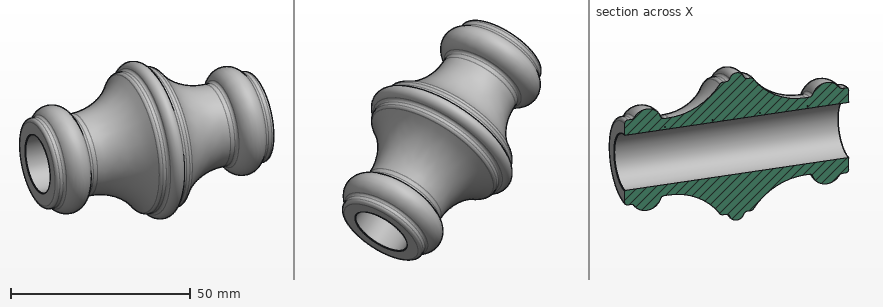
import cadquery as cq
import math

half_length = 33.5
bore_radius = 8.3
bore_chamfer = 0.2

ring_top_radius = 44.95 / 2
ring_round = 2.3
collar_radius = 20.25
collar_end_y = 4.1
collar_round = 1.2
neck_radius = 11.8
neck_start_y = 20.4
bead_top_radius = 15.5
bead_round = 4.5
bead_y = 26.9
end_radius = 13.0
end_round = 1.0
root_round = 1.0


def touch_point(center, other, distance):
    """Point at the given distance from center, toward other."""
    span = math.dist(center, other)
    return tuple(a + (b - a) * distance / span for a, b in zip(center, other))


def root_center(round_center, round_radius, cylinder_radius, side):
    """Center of the fillet between a round and a cylinder; side is its direction along y."""
    radius = cylinder_radius + root_round
    offset = math.sqrt((round_radius + root_round) ** 2 - (radius - round_center[0]) ** 2)
    return (radius, round_center[1] + side * offset)


def arc_to(path, center, arc_radius, start, end):
    """Extend the path from start to end along the shorter arc about center."""
    chord_middle = ((start[0] + end[0]) / 2, (start[1] + end[1]) / 2)
    return path.threePointArc(touch_point(center, chord_middle, arc_radius), end)


ring_center = (ring_top_radius - ring_round, 0)
ring_root = root_center(ring_center, ring_round, collar_radius, 1)
collar_center = (collar_radius - collar_round, collar_end_y)
bead_center = (bead_top_radius - bead_round, bead_y)
inner_root = root_center(bead_center, bead_round, neck_radius, -1)
outer_root = root_center(bead_center, bead_round, end_radius, 1)
end_center = (end_radius - end_round, half_length - end_round)

radial_gap = collar_center[0] - neck_radius
axial_gap = neck_start_y - collar_end_y
flare_round = (radial_gap**2 + axial_gap**2 - collar_round**2) / (2 * (radial_gap + collar_round))
flare_center = (neck_radius + flare_round, neck_start_y)

ring_end = touch_point(ring_center, ring_root, ring_round)
ring_root_end = (collar_radius, ring_root[1])
collar_end = (collar_radius, collar_end_y)
flare_top = touch_point(collar_center, flare_center, collar_round)
neck_start = (neck_radius, neck_start_y)
neck_end = (neck_radius, inner_root[1])
bead_start = touch_point(bead_center, inner_root, bead_round)
bead_end = touch_point(bead_center, outer_root, bead_round)
end_band_start = (end_radius, outer_root[1])
end_band_end = (end_radius, end_center[1])
end_face_edge = (end_center[0], half_length)

profile = cq.Workplane("XY").moveTo(bore_radius, ring_end[1]).lineTo(*ring_end)
profile = arc_to(profile, ring_root, root_round, ring_end, ring_root_end)
profile = profile.lineTo(*collar_end)
profile = arc_to(profile, collar_center, collar_round, collar_end, flare_top)
profile = arc_to(profile, flare_center, flare_round, flare_top, neck_start)
profile = profile.lineTo(*neck_end)
profile = arc_to(profile, inner_root, root_round, neck_end, bead_start)
profile = profile.threePointArc((bead_top_radius, bead_y), bead_end)
profile = arc_to(profile, outer_root, root_round, bead_end, end_band_start)
profile = profile.lineTo(*end_band_end)
profile = arc_to(profile, end_center, end_round, end_band_end, end_face_edge)
profile = profile.lineTo(bore_radius + bore_chamfer, half_length)
profile = profile.lineTo(bore_radius, half_length - bore_chamfer).close()

ring_profile = (
    cq.Workplane("XY")
    .moveTo(bore_radius, -ring_end[1])
    .lineTo(ring_end[0], -ring_end[1])
    .threePointArc((ring_top_radius, 0), ring_end)
    .lineTo(bore_radius, ring_end[1])
    .close()
)

side = profile.revolve(360, (0, 0), (0, 1))
ring = ring_profile.revolve(360, (0, 0), (0, 1))
result = ring.union(side).union(side.mirror("XZ")).clean()